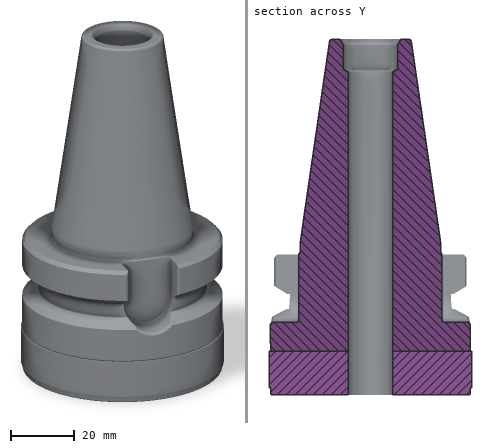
import cadquery as cq
import math

total_height = 111.6
through_bore_radius = 6.9
tolerance = 0.01

ring_diameter = 63.7
ring_radius = ring_diameter / 2
ring_height = 13.7
ring_foot_radius = 31.4
ring_foot_height = 2.1
ring_foot_round = 0.5

collar_radius = 31.5
collar_edge_chamfer = 0.3
collar_top = 24.4
groove_radius = 26.6
groove_bottom = 27.0
groove_top = 31.6
groove_side_radius = 27.2
flange_bottom = 34.3
flange_top = 44.1
flange_chamfer = 1.1

taper_base_radius = 22.2
taper_base = 47.1
taper_foot_fillet = 0.7
taper_slope = 7 / 24 / 2
taper_top_round = 0.9
taper_top_radius = taper_base_radius - (total_height - taper_base) * taper_slope

mouth_radius = 9.6
pilot_radius = 8.5
mouth_depth = 1.8
pilot_depth = 9.4
pilot_cone_depth = 0.9

slot_width = 16.2
slot_floor = 22.5
slot_center_height = 30.9
slot_bottom = slot_center_height - slot_width / 2
slot_floor_fillet = 0.7
slot_mouth_chamfer = 0.8


def make_ring():
    """Plain ring with a slightly smaller foot."""
    return (
        cq.Workplane("XY")
        .circle(ring_foot_radius)
        .extrude(ring_foot_height)
        .faces("<Z")
        .edges()
        .fillet(ring_foot_round)
        .faces(">Z")
        .workplane()
        .circle(ring_radius)
        .extrude(ring_height - ring_foot_height)
        .faces(">Z")
        .workplane()
        .circle(through_bore_radius)
        .cutThruAll()
    )


def make_holder_blank():
    """Revolved collar, groove, flange and taper."""
    outline = [
        (0, ring_height),
        (collar_radius - collar_edge_chamfer, ring_height),
        (collar_radius, ring_height + collar_edge_chamfer),
        (collar_radius, collar_top),
        (groove_side_radius, groove_bottom),
        (groove_radius, groove_bottom),
        (groove_radius, groove_top),
        (groove_side_radius, groove_top),
        (collar_radius, flange_bottom),
        (collar_radius, flange_top - flange_chamfer),
        (collar_radius - flange_chamfer, flange_top),
        (taper_base_radius, flange_top),
        (taper_base_radius, taper_base),
        (taper_top_radius, total_height),
        (0, total_height),
    ]
    blank = cq.Workplane("XZ").polyline(outline).close().revolve(360, (0, 0), (0, 1))
    blank = blank.faces(">Z").edges().fillet(taper_top_round)
    flange_face = cq.NearestToPointSelector((0, 0, flange_top))
    taper_foot = cq.selectors.RadiusNthSelector(0)
    return blank.faces(flange_face).edges(taper_foot).fillet(taper_foot_fillet)


def make_bore():
    """Through bore with a conical mouth and a wider pilot at the taper end."""
    mouth_bottom = total_height - mouth_depth
    pilot_bottom = total_height - pilot_depth
    outline = [
        (0, ring_height),
        (through_bore_radius, ring_height),
        (through_bore_radius, pilot_bottom - pilot_cone_depth),
        (pilot_radius, pilot_bottom),
        (pilot_radius, mouth_bottom),
        (mouth_radius, total_height),
        (0, total_height),
    ]
    return cq.Workplane("XZ").polyline(outline).close().revolve(360, (0, 0), (0, 1))


def make_slot_cutter():
    """Round-bottomed slot on the +X side, open at the top, with a rounded floor corner."""
    half_width = slot_width / 2
    return (
        cq.Workplane("YZ", origin=(slot_floor, 0, 0))
        .moveTo(half_width, total_height)
        .lineTo(half_width, slot_center_height)
        .threePointArc((0, slot_bottom), (-half_width, slot_center_height))
        .lineTo(-half_width, total_height)
        .close()
        .extrude(ring_radius)
        .faces("<X")
        .edges("not >Z")
        .fillet(slot_floor_fillet)
    )


def slot_mouth_edges(holder):
    """Edges where the slots break out through the cylinders of the flange and the collar."""
    def is_mouth_edge(edge):
        ends = (edge.startPoint(), edge.endPoint())
        beside_slot = all(abs(end.y) < slot_width / 2 + tolerance for end in ends)
        on_cylinder = all(abs(math.hypot(end.x, end.y) - collar_radius) < tolerance for end in ends)
        return beside_slot and on_cylinder and edge.Center().z > slot_bottom and edge.geomType() != "CIRCLE"

    return [edge for edge in holder.edges().vals() if is_mouth_edge(edge)]


def make_holder():
    holder = make_holder_blank().cut(make_bore())
    for side_angle in (0, 180):
        holder = holder.cut(make_slot_cutter().rotate((0, 0, 0), (0, 0, 1), side_angle))
    return holder.newObject(slot_mouth_edges(holder)).chamfer(slot_mouth_chamfer)


ring = make_ring()
holder = make_holder()

result = cq.Compound.makeCompound([ring.val(), holder.val()])